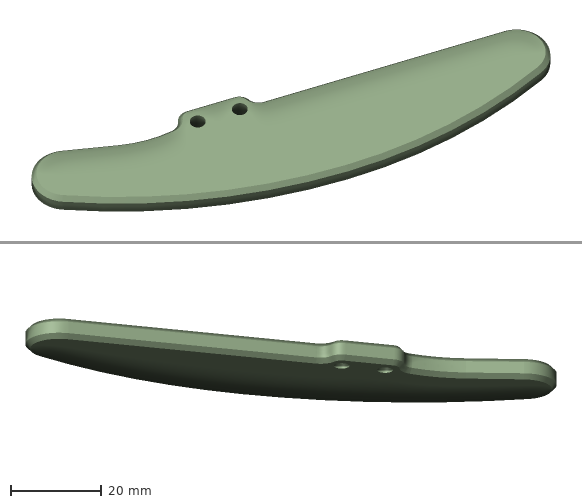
import cadquery as cq
import math


length = 120.84
width = 29.32
thickness = 4.77
edge_chamfer = 1.05

hole_diameter = 3.5
hole_spacing = 10.0
hole_to_tab_edge = 4.5
tab_top_y = 5.45
tab_depth = 3.6
tab_radius = 3.0

tip_radius = 7.5
blade_top_y = 75.6
back_crest_y = 21.0
lower_tip_x = 3.5

neck_radius = 30.0
neck_crest_x = 0.15
neck_upper_angle = math.radians(10.0)
lean_angle = math.radians(13.8)

tab_x = -hole_to_tab_edge
straight_edge_x = tab_x + tab_depth
back_crest = (tab_x + width, back_crest_y)
upper_tip = (straight_edge_x + tip_radius, blade_top_y - tip_radius)
lower_tip = (lower_tip_x, blade_top_y - length + tip_radius)


def on_circle(center, radius, angle):
    """Point on a circle at an angle measured from +X."""
    return (center[0] + radius * math.cos(angle), center[1] + radius * math.sin(angle))


def direction(start, end):
    """Angle of the line from start to end."""
    return math.atan2(end[1] - start[1], end[0] - start[0])


def midpoint(a, b):
    """Point halfway between two points."""
    return ((a[0] + b[0]) / 2, (a[1] + b[1]) / 2)


def bow(center, radius, start, end):
    """Middle and end points of an arc between two angles."""
    return on_circle(center, radius, (start + end) / 2), on_circle(center, radius, end)


def back_arc(tip_center):
    """Center and radius of the arc that is vertical at the back crest and tangent to a tip."""
    dx = back_crest[0] - tip_center[0]
    dy = back_crest[1] - tip_center[1]
    radius = (dx**2 + dy**2 - tip_radius**2) / (2 * (dx - tip_radius))
    return (back_crest[0] - radius, back_crest[1]), radius


def blade_outline():
    """Closed outline, running clockwise from the lower end of the straight edge on the -X side."""
    shoulder_turn = math.acos(1 - tab_depth / (2 * tab_radius))
    shoulder_height = 2 * tab_radius * math.sin(shoulder_turn)
    straight_edge_start = (straight_edge_x, tab_top_y + shoulder_height)
    tab_corner = (tab_x + tab_radius, tab_top_y)
    shoulder_hollow = (straight_edge_x - tab_radius, straight_edge_start[1])
    shoulder_middle = midpoint(tab_corner, shoulder_hollow)

    upper_back, upper_back_radius = back_arc(upper_tip)
    lower_back, lower_back_radius = back_arc(lower_tip)
    upper_angle = direction(upper_back, upper_tip)
    lower_angle = direction(lower_back, lower_tip)

    lean_normal = math.pi - lean_angle
    neck_x = neck_crest_x - neck_radius
    lean_offset = tip_radius + neck_radius + math.cos(lean_angle) * (neck_x - lower_tip[0])
    neck = (neck_x, lower_tip[1] + lean_offset / math.sin(lean_angle))

    lower_hollow = on_circle(neck, neck_radius - tab_radius, neck_upper_angle)
    lower_corner_x = tab_x + tab_radius
    corner_rise = math.sqrt((2 * tab_radius) ** 2 - (lower_hollow[0] - lower_corner_x) ** 2)
    lower_corner = (lower_corner_x, lower_hollow[1] + corner_rise)
    lower_middle = midpoint(lower_corner, lower_hollow)
    hollow_start = direction(lower_hollow, lower_corner)

    corner_angle = direction(tab_corner, shoulder_middle)
    lower_corner_angle = direction(lower_corner, lower_middle) + 2 * math.pi
    return (
        cq.Workplane("XY")
        .moveTo(*straight_edge_start)
        .lineTo(straight_edge_x, upper_tip[1])
        .threePointArc(*bow(upper_tip, tip_radius, math.pi, upper_angle))
        .threePointArc(*bow(upper_back, upper_back_radius, upper_angle, 0))
        .threePointArc(*bow(lower_back, lower_back_radius, 0, lower_angle))
        .threePointArc(*bow(lower_tip, tip_radius, lower_angle, lean_normal - 2 * math.pi))
        .lineTo(*on_circle(neck, neck_radius, -lean_angle))
        .threePointArc(*bow(neck, neck_radius, -lean_angle, neck_upper_angle))
        .threePointArc(*bow(lower_hollow, tab_radius, neck_upper_angle, hollow_start))
        .threePointArc(*bow(lower_corner, tab_radius, lower_corner_angle, math.pi))
        .lineTo(tab_x, tab_top_y)
        .threePointArc(*bow(tab_corner, tab_radius, math.pi, corner_angle))
        .threePointArc(*bow(shoulder_hollow, tab_radius, corner_angle - math.pi, 0))
        .close()
    )


def mounting_holes():
    """Two through holes, one above the other along Y."""
    centers = [(0, hole_spacing / 2), (0, -hole_spacing / 2)]
    return cq.Workplane("XY").pushPoints(centers).circle(hole_diameter / 2).extrude(thickness)


plate = blade_outline().extrude(thickness)
plate = plate.faces("|Z").edges().chamfer(edge_chamfer)
result = plate.cut(mounting_holes())